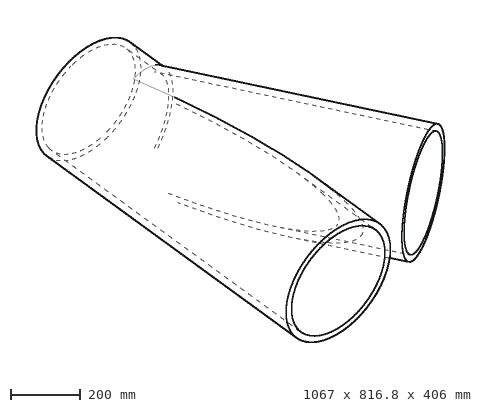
import cadquery as cq

run_length = 1067.0
outer_diameter = 406.0
bore_diameter = 364.0
branch_angle = 30.0
branch_length = 876.0
junction_x = 191.0


def run_cylinder(diameter):
    """Solid cylinder along X with its inlet end at the origin."""
    return cq.Workplane("YZ").circle(diameter / 2).extrude(run_length)


def branch_cylinder(diameter):
    """Solid cylinder leaving the run axis towards +X and +Y."""
    return (
        cq.Workplane("YZ")
        .circle(diameter / 2)
        .extrude(branch_length)
        .rotate((0, 0, 0), (0, 0, 1), branch_angle)
        .translate((junction_x, 0, 0))
    )


def wye(diameter):
    """Run and branch of the same diameter joined into one solid."""
    return run_cylinder(diameter).union(branch_cylinder(diameter))


result = wye(outer_diameter).cut(wye(bore_diameter))